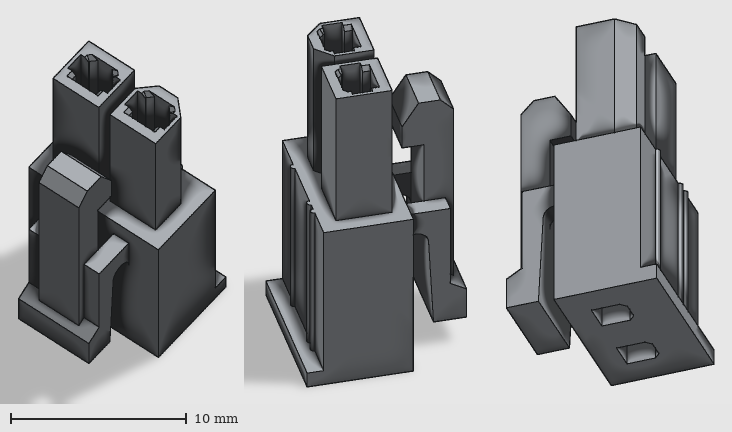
import cadquery as cq


body_width = 9.35
body_depth = 5.27
body_height = 10.6
foot_depth = 6.25
foot_height = 0.97

rib_radius = 0.21
rib_pair_spacing = 0.82

total_height = 19.1
tower_pitch = 4.1
tower_side = 3.3
tower_front = 1.0
tower_key_chamfer = 0.97
tower_center_y = tower_front + tower_side / 2
left_tower_x = -tower_pitch / 2
right_tower_x = tower_pitch / 2

throat_width = 1.72
mouth_width = 2.25
passage_depth = 2.06
throat_chamfer = 0.35
mouth_chamfer = 0.21
lead_in_height = 0.25
side_slot_span = 2.85
side_slot_width = 1.18
side_slot_front = 2.08
side_slot_floor = body_height

spring_width = 5.08
spring_top = 9.4
spring_front = -2.73
leg_bottom = 1.65
leg_back_at_bottom = -1.74
pad_front = -3.69
pad_slope_bottom = 3.61
pad_slope_top = 4.16

bar_width = 2.88
bar_back = -1.45
bar_front = -3.2
bar_top = 16.27
bar_front_chamfer = 0.78
hook_tip = -0.17
hook_underside = 13.31
hook_slope_bottom = 14.78
hook_slope_top_y = -1.15

arch_radius = -bar_back / 2
arch_crown = 7.96
arch_spring_line = arch_crown - arch_radius


def box(x_min, x_max, y_min, y_max, z_min, z_max):
    """Box given by its limits along each axis."""
    return (
        cq.Workplane("XY")
        .box(x_max - x_min, y_max - y_min, z_max - z_min, centered=False)
        .translate((x_min, y_min, z_min))
    )


def make_body():
    half = body_width / 2
    body = box(-half, half, 0, body_depth, 0, body_height)
    foot = box(-half, half, 0, foot_depth, 0, foot_height)
    return body.union(foot)


def make_ribs():
    """Two ribs behind the left tower and one behind the right tower."""
    rib_places = [
        (left_tower_x - rib_pair_spacing / 2, body_depth),
        (left_tower_x + rib_pair_spacing / 2, body_depth),
        (right_tower_x, body_depth),
    ]
    return (
        cq.Workplane("XY")
        .pushPoints(rib_places)
        .circle(rib_radius)
        .extrude(body_height)
    )


def make_tower(center_x):
    half = tower_side / 2
    return box(
        center_x - half, center_x + half,
        tower_front, tower_front + tower_side,
        0, total_height,
    )


def passage_outline(width, chamfer):
    """Corners of the passage: a rectangle with its two rear corners cut at 45 degrees."""
    half_width = width / 2
    half_depth = passage_depth / 2
    return [
        (-half_width, -half_depth),
        (half_width, -half_depth),
        (half_width, half_depth - chamfer),
        (half_width - chamfer, half_depth),
        (-half_width + chamfer, half_depth),
        (-half_width, half_depth - chamfer),
    ]


def make_passage(center_x):
    """Through passage with a flared mouth and a slot in each side wall."""
    throat_points = passage_outline(throat_width, throat_chamfer)
    mouth_points = passage_outline(mouth_width, mouth_chamfer)
    throat = cq.Workplane("XY").polyline(throat_points).close().extrude(total_height)
    lead_in = (
        cq.Workplane("XY")
        .workplane(offset=total_height - lead_in_height)
        .polyline(throat_points)
        .close()
        .workplane(offset=lead_in_height)
        .polyline(mouth_points)
        .close()
        .loft(ruled=True)
    )
    side_slots = box(
        center_x - side_slot_span / 2, center_x + side_slot_span / 2,
        side_slot_front, side_slot_front + side_slot_width,
        side_slot_floor, total_height,
    )
    return throat.union(lead_in).translate((center_x, tower_center_y, 0)).union(side_slots)


def make_spring():
    """Bridges, leg and thumb pad, with the middle of the bridge open behind the bar."""
    spring = (
        cq.Workplane("YZ")
        .moveTo(0, spring_top)
        .lineTo(spring_front, spring_top)
        .lineTo(spring_front, pad_slope_top)
        .lineTo(pad_front, pad_slope_bottom)
        .lineTo(pad_front, leg_bottom)
        .lineTo(leg_back_at_bottom, leg_bottom)
        .lineTo(bar_back, arch_spring_line)
        .threePointArc((bar_back / 2, arch_crown), (0, arch_spring_line))
        .close()
        .extrude(spring_width / 2, both=True)
    )
    bridge_gap = box(-bar_width / 2, bar_width / 2, bar_back, 0, arch_spring_line, spring_top)
    return spring.cut(bridge_gap)


def make_latch_bar():
    """Upright bar that grows out of the spring leg and ends in the hook."""
    slope_rise_per_depth = (pad_slope_top - pad_slope_bottom) / (spring_front - pad_front)
    bar_foot = pad_slope_bottom + slope_rise_per_depth * (bar_front - pad_front)
    return (
        cq.Workplane("YZ")
        .moveTo(bar_front, bar_foot)
        .lineTo(bar_front, bar_top - bar_front_chamfer)
        .lineTo(bar_front + bar_front_chamfer, bar_top)
        .lineTo(hook_slope_top_y, bar_top)
        .lineTo(hook_tip, hook_slope_bottom)
        .lineTo(hook_tip, hook_underside)
        .lineTo(bar_back, hook_underside)
        .lineTo(bar_back, arch_spring_line)
        .lineTo(spring_front, pad_slope_top)
        .close()
        .extrude(bar_width / 2, both=True)
    )


keyed_tower = make_tower(right_tower_x).edges("|Z and >Y").chamfer(tower_key_chamfer)

housing = make_body().union(make_ribs()).union(make_tower(left_tower_x)).union(keyed_tower)
for tower_x in (left_tower_x, right_tower_x):
    housing = housing.cut(make_passage(tower_x))

result = housing.union(make_spring()).union(make_latch_bar())